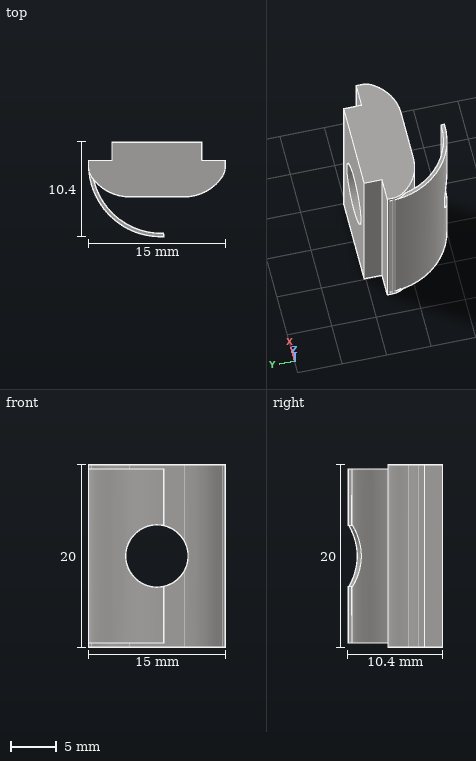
import cadquery as cq
import math

length = 20.0
width = 15.0
body_depth = 6.0
tongue_width = 9.85
tongue_depth = 2.0
flat_width = 6.0
front_radius = 5.0
side_radius = 2.0

spring_length = 19.08
spring_radius = 7.95
spring_thickness = 0.4
spring_front = -10.35
spring_tip_x = 0.75
spring_bulge = 0.001
spring_root_angle = 178.0

hole_diameter = 6.8


def arc_point(center, radius, angle):
    """Point on a circle, with the angle in radians from +X."""
    return (center[0] + radius * math.cos(angle), center[1] + radius * math.sin(angle))


def mirrored(point):
    return (-point[0], point[1])


def make_body():
    half_width = width / 2
    half_tongue = tongue_width / 2
    half_flat = flat_width / 2

    front_center = (half_flat, front_radius - body_depth)
    side_center_x = half_width - side_radius
    center_offset_x = side_center_x - front_center[0]
    center_offset_y = -math.sqrt((front_radius - side_radius) ** 2 - center_offset_x**2)
    side_center = (side_center_x, front_center[1] + center_offset_y)

    join_angle = math.atan2(center_offset_y, center_offset_x)
    side_start = (half_width, side_center[1])
    side_middle = arc_point(side_center, side_radius, join_angle / 2)
    join = arc_point(front_center, front_radius, join_angle)
    front_middle = arc_point(front_center, front_radius, (join_angle - math.pi / 2) / 2)
    front_end = (half_flat, -body_depth)

    return (
        cq.Workplane("XY")
        .moveTo(-half_tongue, 0)
        .lineTo(half_tongue, 0)
        .lineTo(half_tongue, -tongue_depth)
        .lineTo(half_width, -tongue_depth)
        .lineTo(*side_start)
        .threePointArc(side_middle, join)
        .threePointArc(front_middle, front_end)
        .lineTo(*mirrored(front_end))
        .threePointArc(mirrored(front_middle), mirrored(join))
        .threePointArc(mirrored(side_middle), mirrored(side_start))
        .lineTo(-half_width, -tongue_depth)
        .lineTo(-half_tongue, -tongue_depth)
        .close()
        .extrude(length)
    )


def make_spring():
    """Curved strip that barely bulges past the -X side face and curls to a radial tip."""
    inner_radius = spring_radius - spring_thickness
    center = (spring_radius - width / 2 - spring_bulge, spring_front + spring_radius)
    root_angle = math.radians(spring_root_angle)
    tip_angle = 2 * math.pi - math.acos((spring_tip_x - center[0]) / spring_radius)
    middle_angle = (root_angle + tip_angle) / 2

    return (
        cq.Workplane("XY", origin=(0, 0, (length - spring_length) / 2))
        .moveTo(*arc_point(center, spring_radius, root_angle))
        .threePointArc(
            arc_point(center, spring_radius, middle_angle),
            arc_point(center, spring_radius, tip_angle),
        )
        .lineTo(*arc_point(center, inner_radius, tip_angle))
        .threePointArc(
            arc_point(center, inner_radius, middle_angle),
            arc_point(center, inner_radius, root_angle),
        )
        .close()
        .extrude(spring_length)
    )


def make_hole():
    """Cylinder along Y through the center of the body and the spring."""
    return (
        cq.Workplane("XZ", origin=(0, 0, length / 2))
        .circle(hole_diameter / 2)
        .extrude(-spring_front)
    )


result = make_body().union(make_spring()).cut(make_hole())